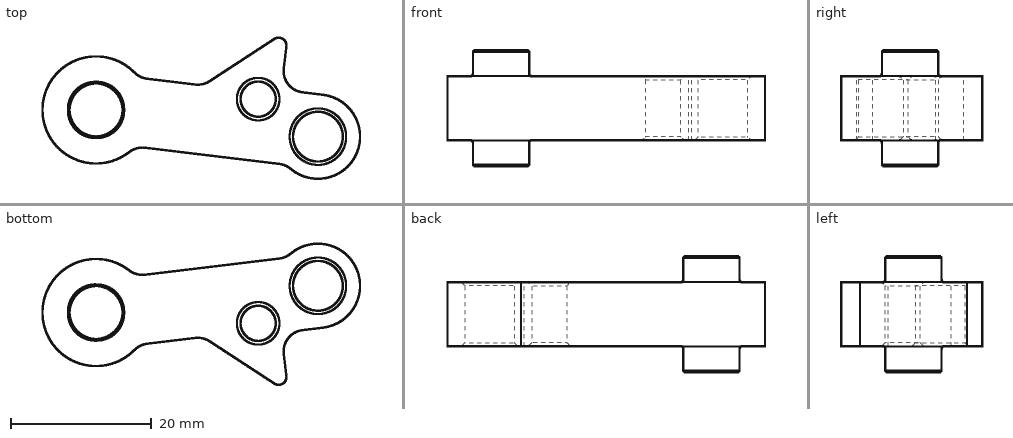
import cadquery as cq
import math

overall_length = 45.1
thickness = 9.1
pin_boss_radius = 7.62
eye_boss_radius = 6.0
eye_x = overall_length - pin_boss_radius - eye_boss_radius
eye_y = -3.8
link_length = math.hypot(eye_x, eye_y)
link_angle = math.degrees(math.atan2(eye_y, eye_x))

upper_edge = 5.3
lower_edge = -4.5
tooth_root_x = 14.65
tooth_back_x = 25.75
tooth_slope = 40.0
tooth_peak = upper_edge + (tooth_back_x - tooth_root_x) * math.tan(math.radians(tooth_slope))
blend_radius = 3.0
tooth_tip_radius = 1.15

pin_radius = 4.0
pin_length = 16.5
pin_chamfer = 0.25
pin_base_fillet = 0.3
eye_hole_radius = 3.5
eye_rim_radius = 4.0
small_hole_radius = 2.5
small_rim_radius = 3.0
small_hole_center = (23.0, 1.55)


def cylinder(radius, height, center=(0, 0)):
    """Vertical cylinder centred on Z = 0."""
    return cq.Workplane("XY").center(*center).circle(radius).extrude(height / 2, both=True)


def chamfered_bore(radius, rim_radius, center=(0, 0)):
    """Cutter for a through hole with a 45 degree chamfer at both rims."""
    half = thickness / 2
    depth = rim_radius - radius
    profile = [
        (0, -half),
        (rim_radius, -half),
        (radius, depth - half),
        (radius, half - depth),
        (rim_radius, half),
        (0, half),
    ]
    cutter = cq.Workplane("XZ").polyline(profile).close().revolve(360, (0, 0), (0, 1))
    return cutter.translate((*center, 0))


def link_plate():
    """Two bosses joined by a web with a pawl tooth, built along X and then tilted."""
    tooth_root = (tooth_root_x, upper_edge)
    tooth_tip = (tooth_back_x, tooth_peak)
    tooth_heel = (tooth_back_x, eye_boss_radius)
    web = (
        cq.Workplane("XY")
        .polyline([
            (0, lower_edge),
            (0, upper_edge),
            tooth_root,
            tooth_tip,
            tooth_heel,
            (link_length, eye_boss_radius),
            (link_length, lower_edge),
        ])
        .close()
        .extrude(thickness / 2, both=True)
    )
    plate = web.union(cylinder(pin_boss_radius, thickness))
    plate = plate.union(cylinder(eye_boss_radius, thickness, (link_length, 0)))

    pin_boss_top = (math.sqrt(pin_boss_radius**2 - upper_edge**2), upper_edge)
    pin_boss_bottom = (math.sqrt(pin_boss_radius**2 - lower_edge**2), lower_edge)
    eye_boss_bottom = (link_length - math.sqrt(eye_boss_radius**2 - lower_edge**2), lower_edge)

    inner_corners = [tooth_root, tooth_heel, pin_boss_top, pin_boss_bottom, eye_boss_bottom]
    corner_blends = [(corner, blend_radius) for corner in inner_corners]
    corner_blends.append((tooth_tip, tooth_tip_radius))
    for corner, radius in corner_blends:
        edge = cq.selectors.NearestToPointSelector((*corner, 0))
        plate = plate.edges("|Z").edges(edge).fillet(radius)
    return plate.rotate((0, 0, 0), (0, 0, 1), link_angle)


def add_pin(plate):
    """Pin through the plate, chamfered at both ends and filleted where it leaves each face."""
    pin = cylinder(pin_radius, pin_length).faces("<Z or >Z").chamfer(pin_chamfer)
    part = plate.union(pin)
    for side in (-1, 1):
        base_edge = cq.selectors.NearestToPointSelector((0, 0, side * thickness / 2))
        part = part.edges("%CIRCLE").edges(base_edge).fillet(pin_base_fillet)
    return part


result = (
    add_pin(link_plate())
    .cut(chamfered_bore(eye_hole_radius, eye_rim_radius, (eye_x, eye_y)))
    .cut(chamfered_bore(small_hole_radius, small_rim_radius, small_hole_center))
)